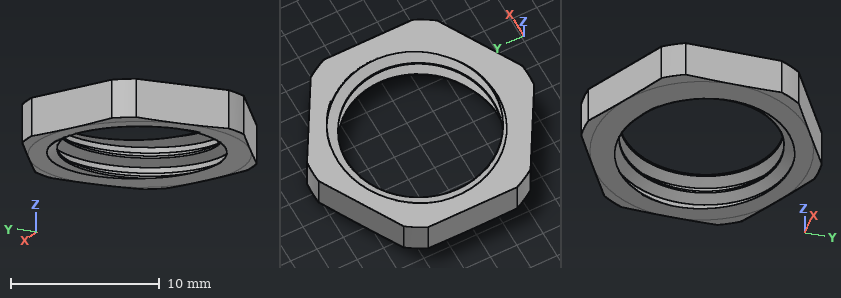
import cadquery as cq
import math

corner_diameter = 16.45
across_flats = 15.0
thickness = 2.76
corner_relief_height = 0.07

bore_radius = 5.55
root_radius = 6.3
pitch = 1.41
root_flat = 0.4
flank_angle = 30.0
top_exit_angle = 115.0
groove_overlap = 0.03


def make_body():
    """Hexagon with flats facing +X and -X, turned round at its corners."""
    corner_radius = corner_diameter / 2
    flat_radius = across_flats / 2
    hexagon = (
        cq.Workplane("XY")
        .polygon(6, across_flats, circumscribed=True)
        .extrude(thickness)
    )
    turned_envelope = (
        cq.Workplane("XZ")
        .polyline([
            (0, 0),
            (flat_radius, 0),
            (corner_radius, corner_relief_height),
            (corner_radius, thickness),
            (0, thickness),
        ])
        .close()
        .revolve(360, (0, 0), (0, 1))
    )
    return hexagon.intersect(turned_envelope)


def make_thread_groove():
    """Helical trapezoidal groove running out past both faces."""
    inner_radius = bore_radius - groove_overlap
    root_half_width = root_flat / 2
    flank_rise = (root_radius - inner_radius) * math.tan(math.radians(flank_angle))
    mouth_half_width = root_half_width + flank_rise

    turns = math.ceil(thickness / pitch) + 2
    start_height = thickness - (turns - 1) * pitch
    helix = cq.Wire.makeHelix(pitch, turns * pitch, inner_radius)
    groove = (
        cq.Workplane("XZ")
        .polyline([
            (inner_radius, -mouth_half_width),
            (root_radius, -root_half_width),
            (root_radius, root_half_width),
            (inner_radius, mouth_half_width),
        ])
        .close()
        .sweep(cq.Workplane(helix), isFrenet=True)
    )
    return groove.rotate((0, 0, 0), (0, 0, 1), top_exit_angle).translate((0, 0, start_height))


bore = cq.Workplane("XY").circle(bore_radius).extrude(thickness)
result = make_body().cut(bore).cut(make_thread_groove())